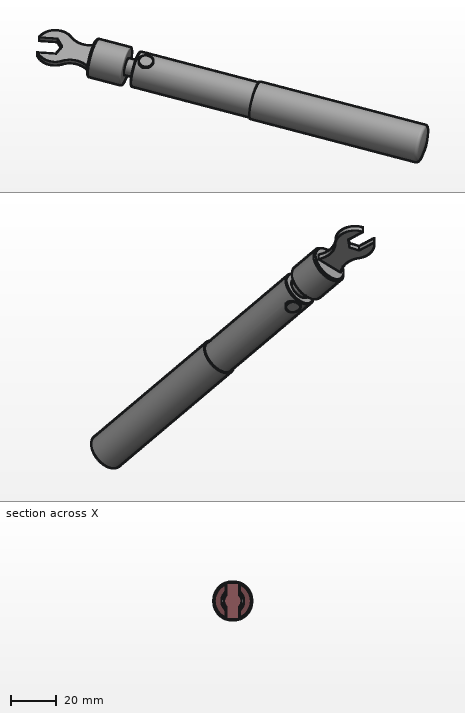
import cadquery as cq
import math


jaw_center_x = 8.2
jaw_radius = 8.5
plate_thickness = 2.8
mouth_center = (6.5, -0.4)
mouth_width = 8.0
mouth_tilt = 13
shoulder_x = 13.0
waist_x = 18.5
waist_half_width = 4.6
root_half_width = 6.4

collar_start = 25.2
collar_end = 40.9
collar_diameter = 17.5
collar_edge = 0.7
neck_diameter = 7.8

handle_start = 45.2
handle_diameter = 16.0
handle_front_chamfer = 0.4
grip_start = 99.7
grip_diameter = 17.0
grip_end = 177.8
dome_height = 1.5
dome_edge_fillet = 1.5

socket_diameter = 9.8
pin_diameter = 6.2
pin_x = 49.8
pin_length = handle_diameter
pin_hole_diameter = 6.8
neck_end = pin_x + pin_diameter


def cylinder_along_x(start, end, diameter):
    return cq.Workplane("YZ", origin=(start, 0, 0)).circle(diameter / 2).extrude(end - start)


def make_jaw_plate():
    """Round jaw with a concave waist and a tilted half-hexagon mouth."""
    shoulder_y = math.sqrt(jaw_radius**2 - (shoulder_x - jaw_center_x) ** 2)
    plate = (
        cq.Workplane("XY", origin=(0, 0, -plate_thickness / 2))
        .moveTo(collar_start, root_half_width)
        .threePointArc((waist_x, waist_half_width), (shoulder_x, shoulder_y))
        .threePointArc((jaw_center_x - jaw_radius, 0), (shoulder_x, -shoulder_y))
        .threePointArc((waist_x, -waist_half_width), (collar_start, -root_half_width))
        .close()
        .extrude(plate_thickness)
    )
    half_width = mouth_width / 2
    corner_x = half_width / math.sqrt(3)
    open_end = -2 * jaw_radius
    mouth = (
        cq.Workplane("XY")
        .polyline([
            (open_end, -half_width),
            (corner_x, -half_width),
            (2 * corner_x, 0),
            (corner_x, half_width),
            (open_end, half_width),
        ])
        .close()
        .extrude(plate_thickness, both=True)
        .rotate((0, 0, 0), (0, 0, 1), mouth_tilt)
        .translate((*mouth_center, 0))
    )
    tip_trim = cq.Workplane("XY").box(
        jaw_radius, 2 * jaw_radius, 2 * plate_thickness, centered=(False, True, True)
    ).translate((-jaw_radius, 0, 0))
    return plate.cut(mouth).cut(tip_trim)


def cylinder_along_z(diameter):
    """Cross cylinder at the pin, reaching both flat pin ends."""
    return (
        cq.Workplane("XY", origin=(pin_x, 0, -pin_length / 2))
        .circle(diameter / 2)
        .extrude(pin_length)
    )


def make_head():
    """Jaw plate, collar, neck and cross pin in one piece."""
    collar = cylinder_along_x(collar_start, collar_end, collar_diameter)
    collar = collar.faces("<X").chamfer(collar_edge)
    collar = collar.faces(">X").edges().fillet(collar_edge)
    neck = cylinder_along_x(collar_end, neck_end, neck_diameter)
    return make_jaw_plate().union(collar).union(neck).union(cylinder_along_z(pin_diameter))


def make_handle():
    """Handle and domed grip, bored for the neck and the cross pin."""
    barrel = cylinder_along_x(handle_start, grip_start, handle_diameter)
    barrel = barrel.faces("<X").chamfer(handle_front_chamfer)
    grip_radius = grip_diameter / 2
    dome_base = grip_end - dome_height
    dome_radius = (grip_radius**2 + dome_height**2) / (2 * dome_height)
    dome_middle_r = grip_radius / 2
    dome_middle_x = grip_end - dome_radius + math.sqrt(dome_radius**2 - dome_middle_r**2)
    grip = (
        cq.Workplane("XY")
        .moveTo(grip_start, 0)
        .lineTo(grip_start, grip_radius)
        .lineTo(dome_base, grip_radius)
        .threePointArc((dome_middle_x, dome_middle_r), (grip_end, 0))
        .close()
        .revolve(360, (0, 0, 0), (1, 0, 0))
        .edges(cq.selectors.BoxSelector(
            (dome_base - dome_edge_fillet, -grip_diameter, -grip_diameter),
            (grip_end, grip_diameter, grip_diameter),
            boundingbox=False,
        ))
        .edges("%CIRCLE")
        .fillet(dome_edge_fillet)
    )
    socket = cylinder_along_x(handle_start, neck_end, socket_diameter)
    return barrel.union(grip).cut(socket).cut(cylinder_along_z(pin_hole_diameter))


head = make_head()
handle = make_handle()
result = cq.Compound.makeCompound([head.val(), handle.val()])